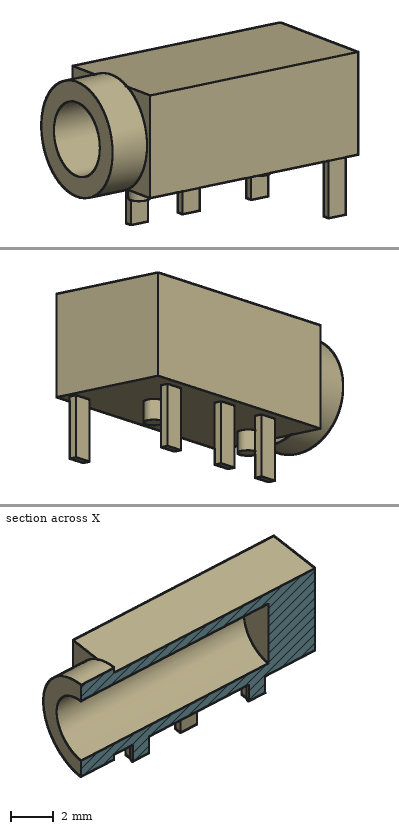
import cadquery as cq

body_width = 6.1
body_length = 12.1
body_height = 5.0
body_bottom = -body_height / 2

barrel_diameter = 5.6
barrel_length = 14.1 - body_length
bore_diameter = 3.6
bore_depth = 11.28

peg_diameter = 1.0
peg_length = 1.0
peg_distances = (1.61, 8.6)

pin_width = 1.0
pin_thickness = 0.4
pin_length = 3.0
pin_offset = 2.3
left_pin_distances = (3.2, 6.2, 10.2)
right_pin_distances = (11.3,)


def make_housing():
    return cq.Workplane("XY").box(
        body_width, body_length, body_height, centered=(True, False, True)
    )


def make_barrel():
    return cq.Workplane("XZ").circle(barrel_diameter / 2).extrude(barrel_length)


def make_bore():
    return (
        cq.Workplane("XZ", origin=(0, -barrel_length, 0))
        .circle(bore_diameter / 2)
        .extrude(-bore_depth)
    )


def underside():
    return cq.Workplane("XY", origin=(0, 0, body_bottom))


def make_pegs():
    centres = [(0, y) for y in peg_distances]
    return underside().pushPoints(centres).circle(peg_diameter / 2).extrude(-peg_length)


def make_pins():
    centres = [(-pin_offset, y) for y in left_pin_distances]
    centres += [(pin_offset, y) for y in right_pin_distances]
    return underside().pushPoints(centres).rect(pin_thickness, pin_width).extrude(-pin_length)


result = (
    make_housing()
    .union(make_barrel())
    .cut(make_bore())
    .union(make_pegs())
    .union(make_pins())
)